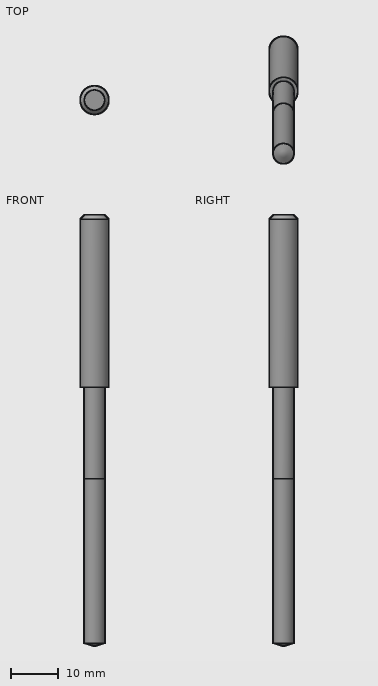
import cadquery as cq
import math

total_length = 90.0
shank_length = 36.0
cutting_length = 35.0

shank_diameter = 6.0
cutting_diameter = 4.4
neck_diameter = cutting_diameter

shank_chamfer = 0.9
point_angle = 145.0

shank_radius = shank_diameter / 2
cutting_radius = cutting_diameter / 2
neck_radius = neck_diameter / 2
shank_bottom = total_length - shank_length
point_height = cutting_radius / math.tan(math.radians(point_angle / 2))


def revolve_about_z(profile):
    """Revolve a closed half-outline, drawn in the XZ plane, about the Z axis."""
    return cq.Workplane("XZ").polyline(profile).close().revolve(360, (0, 0), (0, 1))


def make_holder():
    """Cylindrical shank with a chamfered top and a thinner neck below it."""
    return revolve_about_z([
        (0, cutting_length),
        (neck_radius, cutting_length),
        (neck_radius, shank_bottom),
        (shank_radius, shank_bottom),
        (shank_radius, total_length - shank_chamfer),
        (shank_radius - shank_chamfer, total_length),
        (0, total_length),
    ])


def make_cutting_part():
    """Cylindrical cutting length that ends in a conical point."""
    return revolve_about_z([
        (0, 0),
        (cutting_radius, point_height),
        (cutting_radius, cutting_length),
        (0, cutting_length),
    ])


holder = make_holder()
cutting_part = make_cutting_part()

result = cq.Compound.makeCompound([holder.val(), cutting_part.val()])